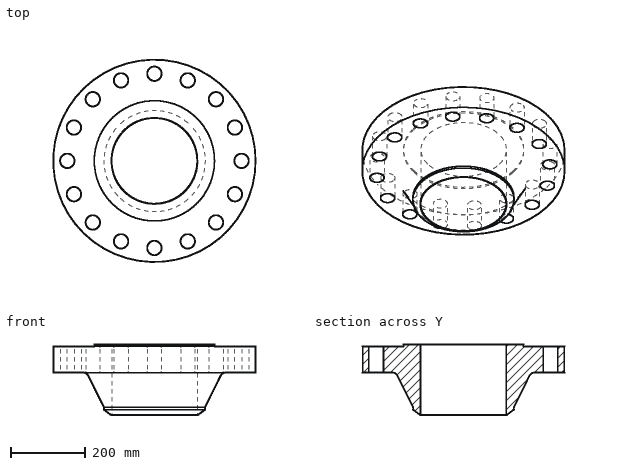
import cadquery as cq

flange_diameter = 546.0
flange_thickness = 71.0
raised_face_diameter = 324.5
raised_face_height = 5.0
total_height = 190.5
bore_diameter = 230.5

neck_top_diameter = 366.0
neck_end_diameter = 273.0
neck_fillet_radius = 15.5
weld_land_height = 6.5
weld_bevel_height = 15.0
weld_tip_diameter = 234.0

bolt_count = 16
bolt_circle_diameter = 469.5
bolt_hole_diameter = 38.0

flange_top = total_height - raised_face_height
flange_bottom = flange_top - flange_thickness
land_top = weld_bevel_height + weld_land_height


def make_flange():
    """Flat disc carrying the raised sealing face."""
    disc = (
        cq.Workplane("XY")
        .workplane(offset=flange_bottom)
        .circle(flange_diameter / 2)
        .extrude(flange_thickness)
    )
    raised_face = (
        cq.Workplane("XY")
        .workplane(offset=flange_top)
        .circle(raised_face_diameter / 2)
        .extrude(raised_face_height)
    )
    return disc.union(raised_face)


def make_neck():
    """Revolved cone ending in a short cylindrical land and a weld bevel."""
    return (
        cq.Workplane("XZ")
        .moveTo(0, 0)
        .lineTo(weld_tip_diameter / 2, 0)
        .lineTo(neck_end_diameter / 2, weld_bevel_height)
        .lineTo(neck_end_diameter / 2, land_top)
        .lineTo(neck_top_diameter / 2, flange_bottom)
        .lineTo(0, flange_bottom)
        .close()
        .revolve(360, (0, 0, 0), (0, 1, 0))
    )


def round_neck_root(body):
    """Blend the cone into the underside of the flange."""
    root_reach = neck_top_diameter / 2 + neck_fillet_radius
    root_edge = cq.selectors.BoxSelector(
        (-root_reach, -root_reach, flange_bottom - neck_fillet_radius / 2),
        (root_reach, root_reach, flange_bottom + neck_fillet_radius / 2),
        boundingbox=True,
    )
    return body.edges(root_edge).fillet(neck_fillet_radius)


def make_bolt_holes():
    """Cutters for the ring of through holes, one of them on the X axis."""
    return (
        cq.Workplane("XY")
        .workplane(offset=flange_bottom)
        .polarArray(bolt_circle_diameter / 2, 0, 360, bolt_count)
        .circle(bolt_hole_diameter / 2)
        .extrude(flange_thickness)
    )


bore = cq.Workplane("XY").circle(bore_diameter / 2).extrude(total_height)

body = round_neck_root(make_flange().union(make_neck()))
result = body.cut(bore).cut(make_bolt_holes())